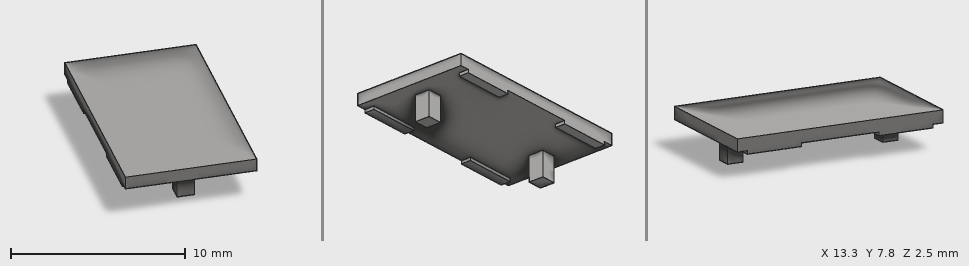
import cadquery as cq

length = 13.3
width = 7.8
total_height = 2.5
plate_thickness = 0.78

pad_length = 3.51
pad_width = 0.68
pad_height = 0.21
pad_spacing = 8.5

pin_length = 1.0
pin_width = 1.04
pin_spacing = 10.03
pin_height = total_height - plate_thickness


def hanging_blocks(centres, block_length, block_width, block_height):
    """Rectangular blocks hanging below the underside of the plate (Z = 0)."""
    return (
        cq.Workplane("XY")
        .pushPoints(centres)
        .rect(block_length, block_width)
        .extrude(-block_height)
    )


plate = cq.Workplane("XY").box(length, width, plate_thickness, centered=(True, True, False))

pad_x = pad_spacing / 2
pad_y = (width - pad_width) / 2
pad_centres = [(x, y) for x in (-pad_x, pad_x) for y in (-pad_y, pad_y)]
pads = hanging_blocks(pad_centres, pad_length, pad_width, pad_height)

pin_centres = [(x, 0) for x in (-pin_spacing / 2, pin_spacing / 2)]
pins = hanging_blocks(pin_centres, pin_length, pin_width, pin_height)

result = plate.union(pads).union(pins)